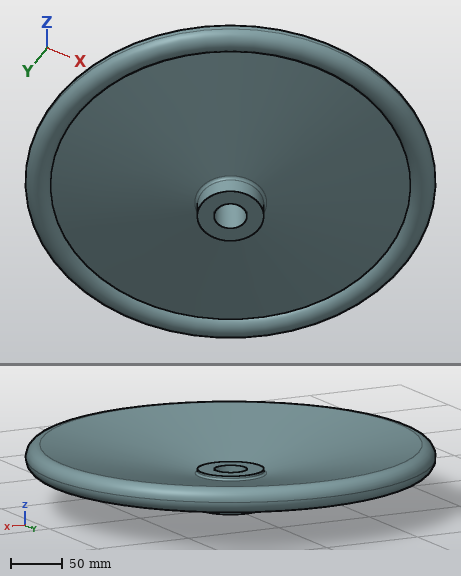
import cadquery as cq
import math

wheel_radius = 200.0
total_height = 63.0
rim_section_radius = 13.0
hub_radius = 32.5
hub_height = 38.5
bore_radius = 16.0

web_edge_radius = 186.5
web_upper_hub_z = 34.0
web_lower_hub_z = 19.5
web_lower_slope = 0.18
upper_fillet_radius = 2.0
lower_fillet_radius = 3.0

rim_center_radius = wheel_radius - rim_section_radius
rim_center_z = total_height - rim_section_radius
web_edge_offset = rim_center_radius - web_edge_radius
web_upper_edge_z = rim_center_z + math.sqrt(rim_section_radius**2 - web_edge_offset**2)

web_lower_angle = math.atan(web_lower_slope)
center_above_cone = rim_center_z - web_lower_hub_z - web_lower_slope * (rim_center_radius - hub_radius)
center_to_cone = center_above_cone * math.cos(web_lower_angle)
rim_entry_angle = math.pi + web_lower_angle + math.asin(center_to_cone / rim_section_radius)
rim_entry_radius = rim_center_radius + rim_section_radius * math.cos(rim_entry_angle)
rim_entry_z = rim_center_z + rim_section_radius * math.sin(rim_entry_angle)


def turned_body():
    """Hub, conical web and round rim revolved about Z from one profile."""
    return (
        cq.Workplane("XZ")
        .moveTo(bore_radius, 0)
        .lineTo(hub_radius, 0)
        .lineTo(hub_radius, web_lower_hub_z)
        .lineTo(rim_entry_radius, rim_entry_z)
        .threePointArc(
            (rim_center_radius, rim_center_z - rim_section_radius),
            (wheel_radius, rim_center_z),
        )
        .threePointArc(
            (rim_center_radius, rim_center_z + rim_section_radius),
            (web_edge_radius, web_upper_edge_z),
        )
        .lineTo(hub_radius, web_upper_hub_z)
        .lineTo(hub_radius, hub_height)
        .lineTo(bore_radius, hub_height)
        .close()
        .revolve(360, (0, 0, 0), (0, 1, 0))
    )


def fillet_hub_edge(body, edge_z, fillet_radius):
    """Fillet the circular corner between hub and web at the given height."""
    margin = 0.5
    reach = hub_radius + margin
    selector = cq.selectors.BoxSelector(
        (-reach, -reach, edge_z - margin),
        (reach, reach, edge_z + margin),
        boundingbox=True,
    )
    return body.edges(selector).fillet(fillet_radius)


result = turned_body()
result = fillet_hub_edge(result, web_upper_hub_z, upper_fillet_radius)
result = fillet_hub_edge(result, web_lower_hub_z, lower_fillet_radius)